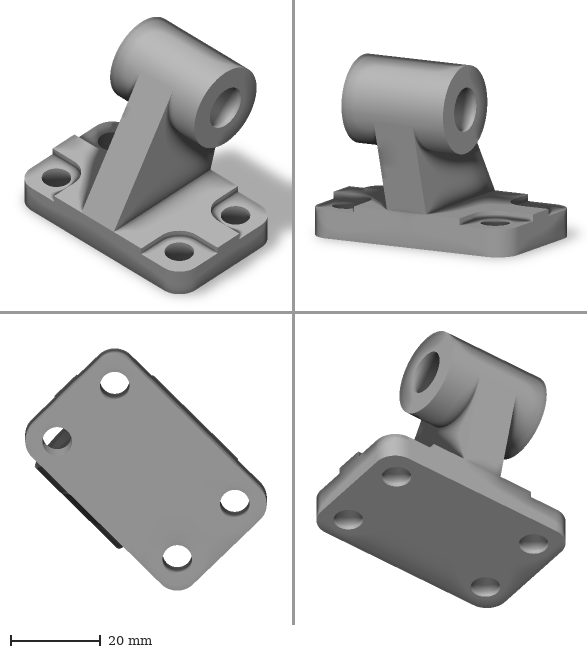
import cadquery as cq
import math

plate_length = 51.0
plate_depth = 31.0
plate_height = 8.0
plate_corner_radius = 5.0

hole_diameter = 6.6
hole_spacing_x = 38.0
hole_spacing_y = 18.0
seat_radius = 5.5
seat_recess = 1.6

overall_depth = 37.5
overall_height = 42.0
barrel_diameter = 20.0
barrel_length = 26.0
bore_diameter = 10.0
barrel_radius = barrel_diameter / 2
barrel_y = overall_depth - barrel_radius
barrel_z = overall_height - barrel_radius

rib_thickness = 10.0


def tangent_point(y, z, side):
    """Point where a line from (y, z) touches the barrel; side is +1 or -1."""
    dy = y - barrel_y
    dz = z - barrel_z
    angle = math.atan2(dz, dy) + side * math.acos(barrel_radius / math.hypot(dy, dz))
    return (
        barrel_y + barrel_radius * math.cos(angle),
        barrel_z + barrel_radius * math.sin(angle),
    )


def x_cylinder(diameter, length):
    """Cylinder on the barrel axis, centred on X = 0."""
    return (
        cq.Workplane("YZ", origin=(-length / 2, barrel_y, barrel_z))
        .circle(diameter / 2)
        .extrude(length)
    )


def make_plate():
    plate = (
        cq.Workplane("XY")
        .box(plate_length, plate_depth, plate_height, centered=(True, True, False))
        .edges("|Z")
        .fillet(plate_corner_radius)
    )
    seat_length = (plate_length - hole_spacing_x) / 2 + seat_radius
    seat_depth = (plate_depth - hole_spacing_y) / 2 + seat_radius
    for side_x in (-1, 1):
        for side_y in (-1, 1):
            seat = (
                cq.Workplane("XY", origin=(0, 0, plate_height - seat_recess))
                .center(
                    side_x * (plate_length - seat_length) / 2,
                    side_y * (plate_depth - seat_depth) / 2,
                )
                .rect(seat_length, seat_depth)
                .extrude(seat_recess)
                .edges("|Z and " + ("<X" if side_x > 0 else ">X"))
                .edges("<Y" if side_y > 0 else ">Y")
                .fillet(seat_radius)
            )
            plate = plate.cut(seat)
    holes = (
        cq.Workplane("XY")
        .rect(hole_spacing_x, hole_spacing_y, forConstruction=True)
        .vertices()
        .circle(hole_diameter / 2)
        .extrude(plate_height)
    )
    return plate.cut(holes).translate((0, plate_depth / 2, 0))


def make_rib():
    return (
        cq.Workplane("YZ")
        .moveTo(0, plate_height)
        .lineTo(plate_depth, plate_height)
        .lineTo(*tangent_point(plate_depth, plate_height, 1))
        .lineTo(barrel_y, barrel_z)
        .lineTo(*tangent_point(0, plate_height, -1))
        .close()
        .extrude(rib_thickness / 2, both=True)
    )


barrel = x_cylinder(barrel_diameter, barrel_length)
bore = x_cylinder(bore_diameter, barrel_length)
result = make_plate().union(make_rib()).union(barrel).cut(bore)